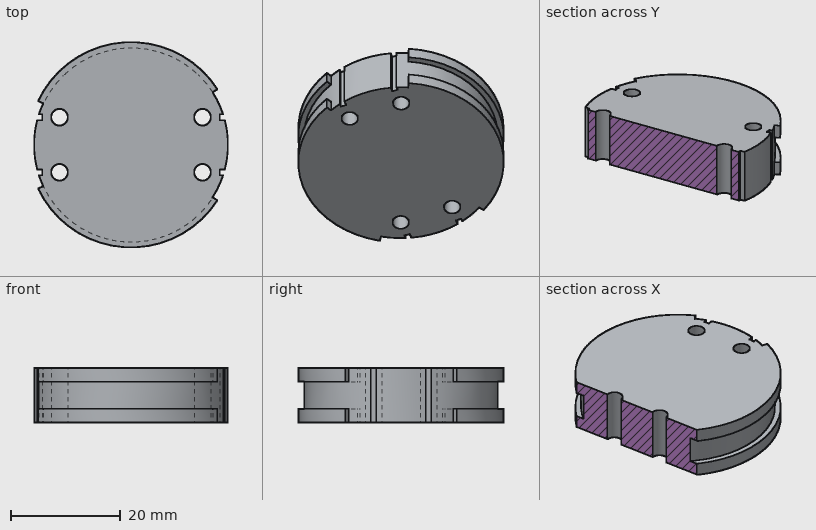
import cadquery as cq
import math

height = 10.0
rim_diameter = 37.4
core_diameter = 35.35
rim_thickness = 2.5

left_gap_half_angle = 25.2
right_gap_half_angle = 32.7

feature_offset_y = 5.0
hole_offset_x = 13.0
hole_diameter = 3.0
slot_width = 1.0
slot_floor_x = 16.2

rim_radius = rim_diameter / 2


def gap_wedge(half_angle, side):
    """Triangular prism from the axis past the rim; side is -1 for -X, +1 for +X."""
    reach_x = side * rim_diameter
    reach_y = rim_diameter * math.tan(math.radians(half_angle))
    corners = [(0, 0), (reach_x, -reach_y), (reach_x, reach_y)]
    return cq.Workplane("XY").polyline(corners).close().extrude(height)


def rim_disc(base_z):
    return cq.Workplane("XY").workplane(offset=base_z).circle(rim_radius).extrude(rim_thickness)


def side_slots():
    """Four full-height slots cut into the core from the -X and +X sides."""
    slot_length = rim_radius - slot_floor_x
    center_x = slot_floor_x + slot_length / 2
    return (
        cq.Workplane("XY")
        .rect(2 * center_x, 2 * feature_offset_y, forConstruction=True)
        .vertices()
        .rect(slot_length, slot_width)
        .extrude(height)
    )


def through_holes():
    return (
        cq.Workplane("XY")
        .rect(2 * hole_offset_x, 2 * feature_offset_y, forConstruction=True)
        .vertices()
        .circle(hole_diameter / 2)
        .extrude(height)
    )


rims = rim_disc(0).union(rim_disc(height - rim_thickness))
rims = rims.cut(gap_wedge(left_gap_half_angle, -1))
rims = rims.cut(gap_wedge(right_gap_half_angle, 1))

core = cq.Workplane("XY").circle(core_diameter / 2).extrude(height)
result = core.union(rims).cut(side_slots()).cut(through_holes())